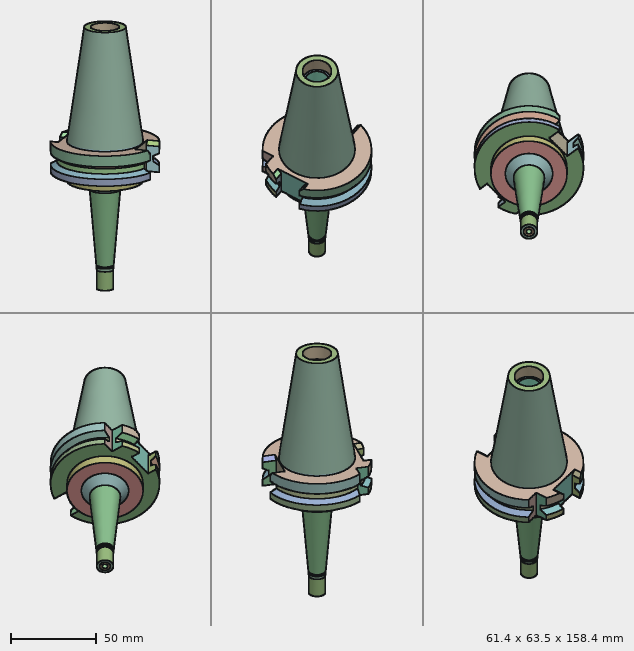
import cadquery as cq
import math

total_height = 158.4
gauge_z = 90.0
flange_top_z = 89.2
flange_bottom_z = 71.0
shoulder_z = 65.3
shank_top_z = 60.2
nut_top_z = 11.4
collet_top_z = 19.0

taper_small_radius = 12.2
taper_large_radius = 22.2
flange_diameter = 63.5
flange_radius = flange_diameter / 2
flare_radius = 13.8
shank_radius = 9.0
nut_radius = 4.9

v_center_z = 78.9
v_depth = 3.6
v_outer_width = 7.5
v_root_width = 3.2

ring_groove_bottom_z = 13.3
ring_groove_width = 1.0
ring_groove_radius = 4.6

counterbore_radius = 8.4
counterbore_depth = 8.2
thread_bore_radius = 7.0
thread_bore_depth = 39.6
collet_radius = 3.2
collet_bore_radius = 1.6

slot_width = 16.2
slot_chamfer = 2.5
left_slot_floor_x = -25.2
right_slot_floor_x = 22.5
notch_corner_x = -18.5
notch_corner_y = 18.4

flange_thickness = flange_top_z - flange_bottom_z
cutter_margin = 1.6
cutter_reach = flange_radius + cutter_margin


def tube(outer_radius, inner_radius, bottom_z, top_z):
    return (
        cq.Workplane("XY", origin=(0, 0, bottom_z))
        .circle(outer_radius)
        .circle(inner_radius)
        .extrude(top_z - bottom_z)
    )


def cylinder(radius, bottom_z, top_z):
    return cq.Workplane("XY", origin=(0, 0, bottom_z)).circle(radius).extrude(top_z - bottom_z)


def holder_blank():
    """Turned outside of the holder, with the gripper groove in its flange."""
    v_root_radius = flange_radius - v_depth
    profile = [
        (0, nut_top_z),
        (nut_radius, nut_top_z),
        (shank_radius, shank_top_z),
        (flare_radius, shoulder_z),
        (taper_large_radius, shoulder_z),
        (taper_large_radius, flange_bottom_z),
        (flange_radius, flange_bottom_z),
        (flange_radius, v_center_z - v_outer_width / 2),
        (v_root_radius, v_center_z - v_root_width / 2),
        (v_root_radius, v_center_z + v_root_width / 2),
        (flange_radius, v_center_z + v_outer_width / 2),
        (flange_radius, flange_top_z),
        (taper_large_radius, flange_top_z),
        (taper_large_radius, gauge_z),
        (taper_small_radius, total_height),
        (0, total_height),
    ]
    return cq.Workplane("YZ").polyline(profile).close().revolve(360, (0, 0, 0), (0, 1, 0))


def ring_groove():
    return tube(
        shank_radius,
        ring_groove_radius,
        ring_groove_bottom_z,
        ring_groove_bottom_z + ring_groove_width,
    )


def holder_bores():
    counterbore_floor_z = total_height - counterbore_depth
    thread_floor_z = total_height - thread_bore_depth
    bores = cylinder(collet_radius, nut_top_z, total_height)
    bores = bores.union(cylinder(thread_bore_radius, thread_floor_z, total_height))
    return bores.union(cylinder(counterbore_radius, counterbore_floor_z, total_height))


def drive_slot(floor_x):
    """Slot open outward from floor_x, with both upper edges chamfered."""
    half_width = slot_width / 2
    chamfered_half_width = half_width + slot_chamfer
    section = [
        (-half_width, flange_bottom_z),
        (half_width, flange_bottom_z),
        (half_width, flange_top_z - slot_chamfer),
        (chamfered_half_width, flange_top_z),
        (-chamfered_half_width, flange_top_z),
        (-half_width, flange_top_z - slot_chamfer),
    ]
    outward = math.copysign(cutter_reach, floor_x) - floor_x
    return cq.Workplane("YZ", origin=(floor_x, 0, 0)).polyline(section).close().extrude(outward)


def orientation_notch():
    """Square corner cut out of the flange over its full thickness."""
    corner = (notch_corner_x - cutter_reach, notch_corner_y, flange_bottom_z)
    return cq.Workplane("XY", origin=corner).box(
        cutter_reach, cutter_reach, flange_thickness, centered=False
    )


def make_holder():
    body = holder_blank().cut(ring_groove()).cut(holder_bores())
    for floor_x in (left_slot_floor_x, right_slot_floor_x):
        body = body.cut(drive_slot(floor_x))
    return body.cut(orientation_notch())


def make_nut():
    return tube(nut_radius, collet_radius, 0, nut_top_z)


def make_collet():
    """Straight sleeve that fills the nut and the lower end of the holder bore."""
    return tube(collet_radius, collet_bore_radius, 0, collet_top_z)


holder = make_holder()
nut = make_nut()
collet = make_collet()

result = cq.Compound.makeCompound([holder.val(), nut.val(), collet.val()])